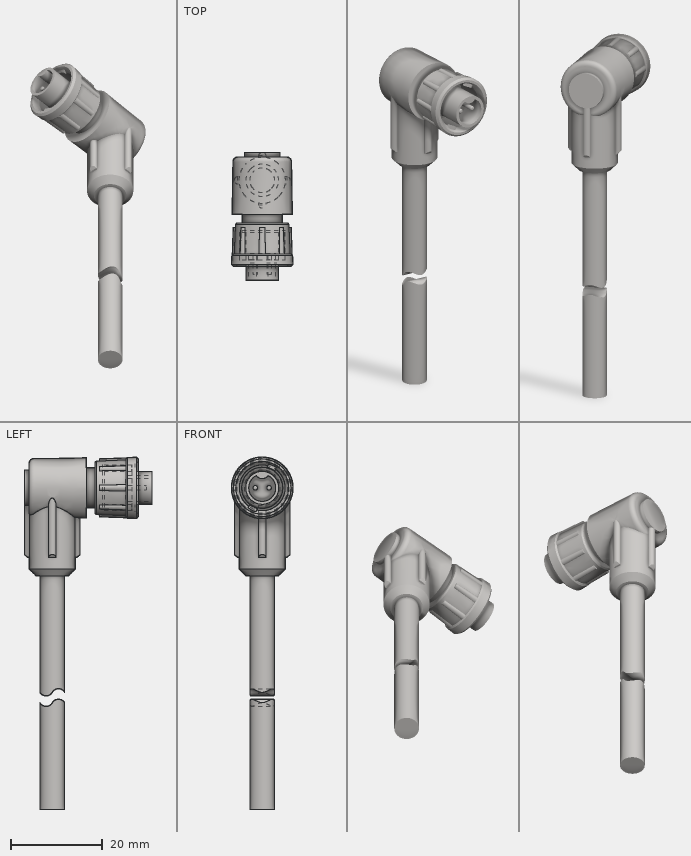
import cadquery as cq


cable_radius = 2.7
cable_end_z = -70.23
break_z = -44.65
break_gap = 2.25
break_wave = 0.78

sleeve_radius = 5.05
sleeve_tip_radius = 3.55
sleeve_chamfer_z = -17.75
sleeve_end_z = -19.2
grip_reach = 6.09
grip_radius = 0.83
grip_end_z = -15.2
grip_chamfer = 0.65
grip_count = 4

body_back_y = 5.1
body_front_y = -7.45
body_back_radius = 6.4
body_front_radius = 6.6
body_fillet = 1.1
cap_radius = 3.9
cap_back_y = 6.12

nut_rear_y = -9.3
nut_front_y = -18.8
nut_rear_radius = 5.85
nut_band_y = -16.1
nut_neck_radius = 6.15
band_rear_radius = 6.65
band_radius = 6.75
band_edge_y = -18.35
band_front_radius = 6.3
nut_edge_chamfer = 0.3
cavity_floor_y = -11.0
cavity_floor_radius = 5.0
cavity_flare_y = -17.4
cavity_mouth_radius = 5.75

rib_count = 8
rib_start_y = -10.3
rib_axis_radius = 5.75
rib_start_radius = 0.6
rib_end_radius = 0.8

lug_count = 2
lug_angle = 65
lug_width = 1.9
lug_inner_radius = 4.6
lug_front_y = -18.1
lug_length = 0.8

neck_radius = 4.4
plug_tip_y = -21.82
plug_radius = 3.6
bore_radius = 2.95
bore_floor_y = -16.0
seal_tube_radius = 0.45
key_radius = 1.6
key_bottom_z = 2.0
pin_radius = 0.5
pin_tip_fillet = 0.3
pin_offset = 1.5
pin_tip_y = -20.6


def along_plug(radius, start_y, end_y):
    """Cylinder on the plug axis from start_y forward to end_y."""
    return cq.Workplane("XZ", origin=(0, start_y, 0)).circle(radius).extrude(start_y - end_y)


def turned_on_plug(profile):
    """Solid of revolution about the plug axis from (radius, y) points."""
    return cq.Workplane("XY").polyline(profile).close().revolve(360, (0, 0, 0), (0, 1, 0))


def cable_piece(top_z, bottom_z):
    return cq.Workplane("XY", origin=(0, 0, bottom_z)).circle(cable_radius).extrude(top_z - bottom_z)


def below_break(wave_z, depth):
    """Block whose top is the wavy break: a crest on the -Y half and a trough on the +Y half."""
    half = cable_radius / 2
    return (
        cq.Workplane("YZ")
        .moveTo(-cable_radius, wave_z)
        .threePointArc((-half, wave_z + break_wave), (0, wave_z))
        .threePointArc((half, wave_z - break_wave), (cable_radius, wave_z))
        .line(0, -depth)
        .line(-2 * cable_radius, 0)
        .close()
        .extrude(cable_radius, both=True)
    )


def make_sleeve():
    profile = [
        (0, 0),
        (sleeve_radius, 0),
        (sleeve_radius, sleeve_chamfer_z),
        (sleeve_tip_radius, sleeve_end_z),
        (0, sleeve_end_z),
    ]
    return cq.Workplane("XZ").polyline(profile).close().revolve(360, (0, 0, 0), (0, 1, 0))


def make_grips():
    """Round grip bars down the sleeve, their lower ends sloped inward."""
    bars = (
        cq.Workplane("XY", origin=(0, 0, grip_end_z))
        .polarArray(grip_reach - grip_radius, 0, 360, grip_count)
        .circle(grip_radius)
        .extrude(-grip_end_z)
    )
    envelope = (
        cq.Workplane("XY", origin=(0, 0, grip_end_z))
        .circle(grip_reach)
        .extrude(-grip_end_z)
        .faces("<Z")
        .chamfer(grip_chamfer)
    )
    return bars.intersect(envelope)


def make_body():
    """Slightly conical body with a rounded back edge and a round cap behind it."""
    profile = [
        (0, body_back_y),
        (body_back_radius, body_back_y),
        (body_front_radius, body_front_y),
        (0, body_front_y),
    ]
    shell = turned_on_plug(profile).faces(">Y").edges().fillet(body_fillet)
    cap = along_plug(cap_radius, cap_back_y, 0)
    return shell.union(cap)


def make_nut():
    """Tapered ribbed nut with a front band and a flared cavity."""
    outside = [
        (0, nut_rear_y),
        (nut_rear_radius - nut_edge_chamfer, nut_rear_y),
        (nut_rear_radius, nut_rear_y - nut_edge_chamfer),
        (nut_neck_radius, nut_band_y),
        (band_rear_radius - nut_edge_chamfer, nut_band_y),
        (band_rear_radius, nut_band_y - nut_edge_chamfer),
        (band_radius, band_edge_y),
        (band_front_radius, nut_front_y),
        (0, nut_front_y),
    ]
    cavity = [
        (0, cavity_floor_y),
        (cavity_floor_radius, cavity_floor_y),
        (cavity_floor_radius, cavity_flare_y),
        (cavity_mouth_radius, nut_front_y),
        (0, nut_front_y),
    ]
    nut = turned_on_plug(outside)
    rib_length = rib_start_y - nut_band_y
    for index in range(rib_count):
        rib = (
            cq.Workplane("XZ", origin=(0, rib_start_y, rib_axis_radius))
            .circle(rib_start_radius)
            .workplane(offset=rib_length)
            .circle(rib_end_radius)
            .loft()
        )
        nut = nut.union(rib.rotate((0, 0, 0), (0, 1, 0), index * 360 / rib_count))
    return nut.cut(turned_on_plug(cavity))


def make_lugs():
    """Blocks on the inside wall of the nut, just behind its mouth."""
    height = nut_rear_radius - lug_inner_radius
    lug = (
        cq.Workplane("XZ", origin=(0, lug_front_y + lug_length, 0))
        .center(lug_inner_radius + height / 2, 0)
        .rect(height, lug_width)
        .extrude(lug_length)
    )
    lugs = cq.Workplane("XY")
    for index in range(lug_count):
        angle = lug_angle + index * 360 / lug_count
        lugs = lugs.union(lug.rotate((0, 0, 0), (0, 1, 0), -angle))
    return lugs


def make_plug():
    """Neck and hollow barrel with a seal ring, a polarising key and two contact pins."""
    neck = along_plug(neck_radius, body_front_y, cavity_floor_y)
    barrel = along_plug(plug_radius, cavity_floor_y, plug_tip_y)
    bore = along_plug(bore_radius, bore_floor_y, plug_tip_y)
    seal_radius = plug_radius + seal_tube_radius
    seal = (
        cq.Workplane("XY", origin=(0, cavity_floor_y, 0))
        .moveTo(seal_radius, 0)
        .circle(seal_tube_radius)
        .revolve(360, (0, 0, 0), (0, 1, 0))
    )
    key = (
        cq.Workplane("XZ", origin=(0, bore_floor_y, key_bottom_z + key_radius))
        .circle(key_radius)
        .extrude(bore_floor_y - plug_tip_y)
        .intersect(along_plug(plug_radius, bore_floor_y, plug_tip_y))
    )
    pins = (
        cq.Workplane("XZ", origin=(0, bore_floor_y, 0))
        .pushPoints([(-pin_offset, 0), (pin_offset, 0)])
        .circle(pin_radius)
        .extrude(bore_floor_y - pin_tip_y)
        .faces("<Y")
        .edges()
        .fillet(pin_tip_fillet)
    )
    return neck.union(barrel).cut(bore).union(seal).union(key).union(pins)


def make_connector():
    cable = cable_piece(0, break_z - break_wave).cut(below_break(break_z, 2 * break_wave))
    connector = make_body().union(make_sleeve()).union(make_grips()).union(cable)
    return connector.union(make_nut()).union(make_lugs()).union(make_plug())


def make_cable_end():
    wave_z = break_z - break_gap
    length = wave_z - cable_end_z
    return cable_piece(wave_z + break_wave, cable_end_z).intersect(below_break(wave_z, length))


connector = make_connector()
cable_end = make_cable_end()
result = cq.Compound.makeCompound([connector.val(), cable_end.val()])